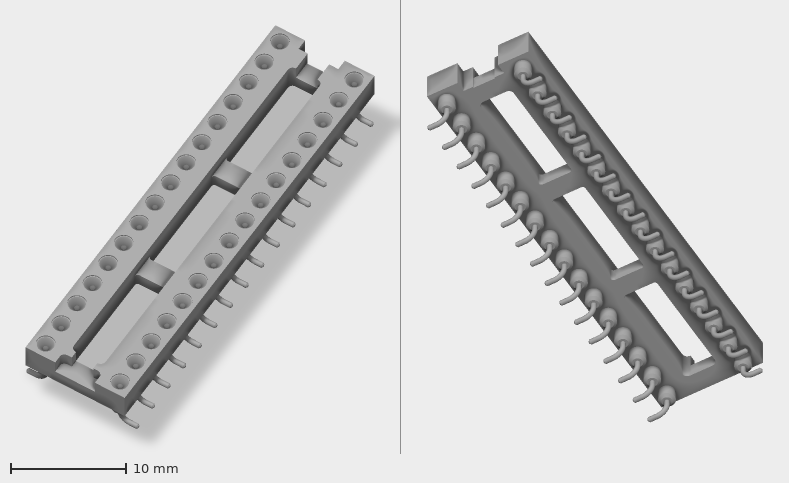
import cadquery as cq

pins_per_row = 16
length = 40.65
pitch = length / pins_per_row
row_spacing = 3 * pitch
width = 4 * pitch
height = 2.7
bar_height = height / 2

window_width = 3.25
window_radius = 0.5
window_length = 35.75
window_center_y = -0.53
bar_thickness = 1.95
bar_spacing = 12.48
bar_corner_radius = 0.3

notch_width = 4.05
channel_width = 2.2
back_notch_depth = 1.05
back_bar_setback = 1.18
front_notch_depth = 1.2
front_notch_side_depth = 0.9
front_notch_flat_width = 3.0

head_diameter = 1.7
head_recess = 0.12
funnel_diameter = 1.55
funnel_bottom_diameter = 0.5
funnel_depth = 0.7
sleeve_diameter = 1.55
sleeve_length = 1.0
sleeve_embed = bar_height / 2
sleeve_tip_diameter = 0.98
sleeve_tip_length = 0.25
lead_diameter = 0.5
lead_straight = 0.35
overall_height = 5.55
lead_drop = overall_height - height
lead_span = 11.4
lead_chamfer = 0.12

front_y = -length / 2
back_y = length / 2
window_front_y = window_center_y - window_length / 2
window_back_y = window_center_y + window_length / 2
lead_top = -sleeve_length - sleeve_tip_length


def block(x_size, y_min, y_max, z_min, z_max):
    """Box centred on X, between the given Y and Z limits."""
    corner = (-x_size / 2, y_min, z_min)
    return cq.Workplane("XY").box(x_size, y_max - y_min, z_max - z_min, centered=False).translate(corner)


def make_housing():
    body = block(width, front_y, back_y, 0, height)

    opening = block(window_width, window_front_y, window_back_y, 0, height)
    body = body.cut(opening.edges("|Z").fillet(window_radius))
    for side in (-1, 1):
        body = body.union(make_cross_bar(window_center_y + side * bar_spacing / 2))

    body = body.cut(block(channel_width, front_y, back_y, bar_height, height))

    body = body.cut(block(notch_width, back_y - back_notch_depth, back_y, 0, height))
    body = body.cut(block(channel_width, back_y - back_bar_setback, back_y, 0, height))

    return body.cut(make_front_notch())


def make_cross_bar(y):
    """Low bar between the rails with its four corners flared into them."""
    half_flared = bar_thickness / 2 + bar_corner_radius
    bar = block(window_width, y - half_flared, y + half_flared, 0, bar_height)
    for side in (-1, 1):
        relief_y = y + side * bar_thickness
        relief = block(
            window_width, relief_y - bar_thickness / 2, relief_y + bar_thickness / 2, 0, bar_height
        )
        bar = bar.cut(relief.edges("|Z").fillet(bar_corner_radius))
    return bar


def make_front_notch():
    """Recess in the front end with a back wall that curves forward at both sides."""
    half_width = notch_width / 2
    half_flat = front_notch_flat_width / 2
    wall_y = front_y + front_notch_depth
    side_y = front_y + front_notch_side_depth
    run = half_width - half_flat
    drop = wall_y - side_y
    curve_radius = (run**2 + drop**2) / (2 * drop)
    return (
        cq.Workplane("XY", origin=(0, 0, bar_height))
        .moveTo(-half_width, front_y)
        .lineTo(-half_width, side_y)
        .radiusArc((-half_flat, wall_y), curve_radius)
        .lineTo(half_flat, wall_y)
        .radiusArc((half_width, side_y), curve_radius)
        .lineTo(half_width, front_y)
        .close()
        .extrude(height - bar_height)
    )


def make_contact():
    """Contact on the Z axis: turned sleeve and a round lead bent outward along +X."""
    sleeve = (
        cq.Workplane("XZ")
        .moveTo(0, sleeve_embed)
        .lineTo(sleeve_diameter / 2, sleeve_embed)
        .lineTo(sleeve_diameter / 2, -sleeve_length)
        .lineTo(sleeve_tip_diameter / 2, lead_top)
        .lineTo(0, lead_top)
        .close()
        .revolve(360, (0, 0, 0), (0, 1, 0))
    )
    bend_top = lead_top - lead_straight
    foot_z = -lead_drop + lead_diameter / 2
    bend_radius = bend_top - foot_z
    foot_end = (lead_span - row_spacing) / 2
    path = (
        cq.Workplane("XZ")
        .moveTo(0, lead_top)
        .lineTo(0, bend_top)
        .radiusArc((bend_radius, foot_z), -bend_radius)
        .lineTo(foot_end, foot_z)
    )
    lead = cq.Workplane("XY", origin=(0, 0, lead_top)).circle(lead_diameter / 2).sweep(path)
    lead = lead.faces(">X").chamfer(lead_chamfer)
    return sleeve.union(lead)


def make_entry():
    """Entry of a contact: its head sits just below the housing top and tapers to a funnel."""
    head_z = height - head_recess
    funnel_z = height - funnel_depth
    return (
        cq.Workplane("XZ")
        .moveTo(0, height)
        .lineTo(head_diameter / 2, height)
        .lineTo(head_diameter / 2, head_z)
        .lineTo(funnel_diameter / 2, head_z)
        .lineTo(funnel_bottom_diameter / 2, funnel_z)
        .lineTo(0, funnel_z)
        .close()
        .revolve(360, (0, 0, 0), (0, 1, 0))
    )


contact = make_contact()
mirrored_contact = contact.rotate((0, 0, 0), (0, 0, 1), 180)
entry = make_entry()
row_x = row_spacing / 2
result = make_housing()
for i in range(pins_per_row):
    pin_y = (i - (pins_per_row - 1) / 2) * pitch
    for x, pin in ((row_x, contact), (-row_x, mirrored_contact)):
        result = result.union(pin.translate((x, pin_y, 0)))
        result = result.cut(entry.translate((x, pin_y, 0)))